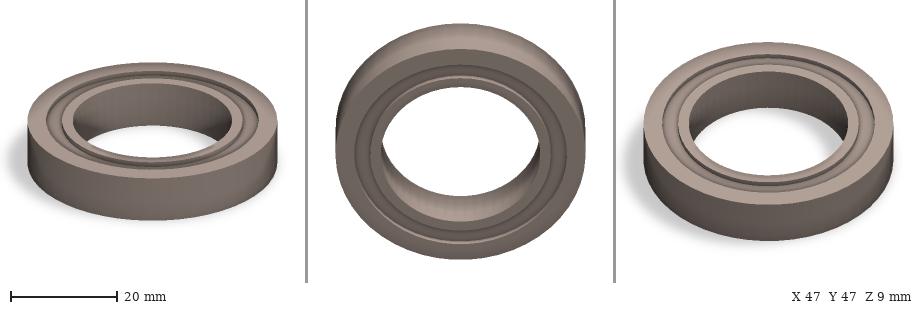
import cadquery as cq

outer_diameter = 47.0
bore_diameter = 30.0
width = 9.0
groove_outer_diameter = 40.0
groove_inner_diameter = 34.0
groove_depth = 1.0


def ring(outer, inner, height, base):
    """Flat ring about the Z axis, rising from the height base."""
    return (
        cq.Workplane("XY")
        .workplane(offset=base)
        .circle(outer / 2)
        .circle(inner / 2)
        .extrude(height)
    )


result = ring(outer_diameter, bore_diameter, width, -width / 2)

for groove_base in (-width / 2, width / 2 - groove_depth):
    groove = ring(groove_outer_diameter, groove_inner_diameter, groove_depth, groove_base)
    result = result.cut(groove)